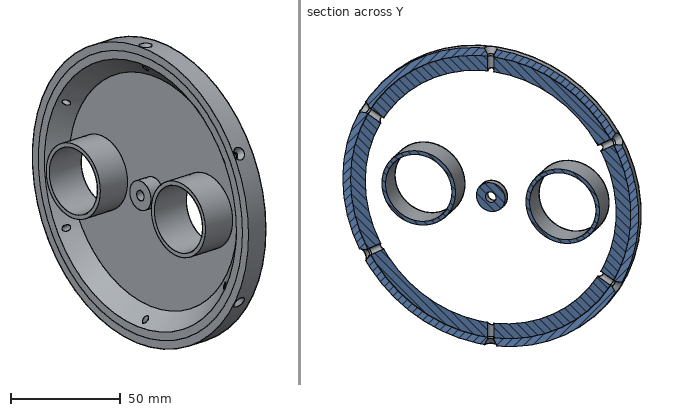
import cadquery as cq
import math


outer_radius = 72.0
seam_radius = 68.0
rim_depth = 11.0

mouth_radius = 64.0
floor_radius = 56.0
floor_thickness = 3.0

port_spacing = 70.0
port_outer_radius = 18.0
port_bore_radius = 16.0
overall_depth = 20.0

boss_radius = 7.0
boss_bore_radius = 2.5
boss_depth = 11.0

screw_count = 6
screw_hole_radius = 1.5
screw_head_radius = 3.0
countersink_depth = 3.0
screw_setback = 3.2
screw_y = screw_setback - rim_depth


def cylinder(radius, depth, x=0):
    """Solid cylinder from the back plane toward -Y."""
    return cq.Workplane("XZ").center(x, 0).circle(radius).extrude(depth)


def screw_cutter(angle):
    """Countersunk radial hole from outside the rim into the dish."""
    direction = cq.Vector(math.cos(angle), 0, math.sin(angle))
    head_center = direction * outer_radius + cq.Vector(0, screw_y, 0)
    shank_length = outer_radius - floor_radius
    shank = cq.Solid.makeCylinder(screw_hole_radius, shank_length, head_center, -direction)
    slope = (screw_head_radius - screw_hole_radius) / countersink_depth
    overrun = 0.7
    cone = cq.Solid.makeCone(
        screw_head_radius + overrun * slope,
        screw_hole_radius,
        countersink_depth + overrun,
        head_center + direction * overrun,
        -direction,
    )
    return cq.Workplane(shank).union(cq.Workplane(cone))


def make_ring():
    """Plain outer band around the dish."""
    return cylinder(outer_radius, rim_depth).cut(cylinder(seam_radius, rim_depth))


def make_dish():
    """Dish with a conical wall, two tubular ports and a drilled boss."""
    profile = [
        (0, 0),
        (seam_radius, 0),
        (seam_radius, -rim_depth),
        (mouth_radius, -rim_depth),
        (floor_radius, -floor_thickness),
        (0, -floor_thickness),
    ]
    dish = cq.Workplane("XY").polyline(profile).close().revolve(360, (0, 0), (0, 1))
    dish = dish.union(cylinder(boss_radius, boss_depth))
    dish = dish.cut(cylinder(boss_bore_radius, boss_depth))
    for port_x in (-port_spacing / 2, port_spacing / 2):
        dish = dish.union(cylinder(port_outer_radius, overall_depth, port_x))
        dish = dish.cut(cylinder(port_bore_radius, overall_depth, port_x))
    return dish


ring = make_ring()
dish = make_dish()
for index in range(screw_count):
    cutter = screw_cutter(math.pi / 2 + index * 2 * math.pi / screw_count)
    ring = ring.cut(cutter)
    dish = dish.cut(cutter)

result = cq.Compound.makeCompound([ring.val(), dish.val()])